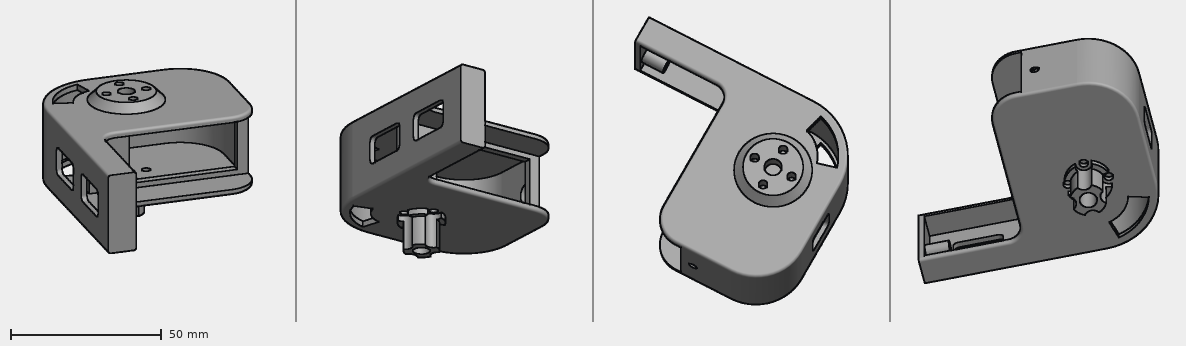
import cadquery as cq
import math

length = 84.0
width = 66.0
height = 28.0
body_length = 48.2
arm_width = 10.0
wall = 2.0
edge_round = 1.0

front_left_radius = 22.0
back_left_radius = 17.3
back_right_radius = 9.9
inner_corner_radius = 5.0

rim_start = 33.35
rim_thickness = 2.85
rim_lip = 1.85
rim_opening_front = 24.2
chamber_round = 1.2

hub_x = front_left_radius
hub_y = 28.05
boss_base_diameter = 25.95
boss_top_diameter = 20.0
boss_height = 3.0
flange_diameter = 16.0
flange_height = 2.0
spigot_diameter = 12.0
spigot_length = 12.0
bore_diameter = 5.8
screw_diameter = 2.9
screw_circle_radius = 7.0
screw_head_diameter = 5.55

window_round = 1.7
front_window_size = (17.0, 9.8)
front_window_centres = (40.5, 65.4)
front_window_z = -14.1
side_window_size = (11.25, 11.1)
side_window_y = 35.3
side_window_z = -14.1

slot_inner_radius = 11.9
slot_outer_radius = 18.8
slot_start_angle = 195.0
slot_end_angle = 255.0

back_hole_x = 31.7
countersink_diameter = 7.0

tube_diameter = 5.0
tube_start = 73.9
tube_y = 6.7
tube_z = -19.1

floor_z = wall - height
ceiling_z = -wall
rim_end = rim_start + rim_thickness
spigot_end = -height - spigot_length
screw_centres = [
    (hub_x + screw_circle_radius, hub_y),
    (hub_x, hub_y + screw_circle_radius),
    (hub_x - screw_circle_radius, hub_y),
    (hub_x, hub_y - screw_circle_radius),
]


def outline(inset):
    """Closed L-shaped outline, moved inwards by inset on every side."""
    left = inset
    front = inset
    back = width - inset
    right = body_length - inset
    arm_back = arm_width - inset
    end = length - inset
    r_front_left = front_left_radius - inset
    r_back_left = back_left_radius - inset
    r_back_right = back_right_radius - inset
    r_inner = inner_corner_radius + inset
    return (
        cq.Workplane("XY")
        .moveTo(left + r_front_left, front)
        .lineTo(end, front)
        .lineTo(end, arm_back)
        .lineTo(right + r_inner, arm_back)
        .radiusArc((right, arm_back + r_inner), r_inner)
        .lineTo(right, back - r_back_right)
        .radiusArc((right - r_back_right, back), -r_back_right)
        .lineTo(left + r_back_left, back)
        .radiusArc((left, back - r_back_left), -r_back_left)
        .lineTo(left, front + r_front_left)
        .radiusArc((left + r_front_left, front), -r_front_left)
        .close()
    )


def box(x_range, y_range, z_range):
    """Axis-aligned box between pairs of limits."""
    size = [limits[1] - limits[0] for limits in (x_range, y_range, z_range)]
    corner = (x_range[0], y_range[0], z_range[0])
    return cq.Workplane("XY").box(*size, centered=False).translate(corner)


def cylinder_z(x, y, diameter, bottom, top):
    """Upright cylinder between two heights."""
    return cq.Workplane("XY", origin=(x, y, bottom)).circle(diameter / 2).extrude(top - bottom)


def shell():
    """Solid L-shaped block with rounded top and bottom edges and a square arm end."""
    block = outline(0).extrude(-height)
    side_edges = block.faces("|Z").edges("not(>X)")
    return side_edges.fillet(edge_round)


def chamber():
    """Hollow behind the front and left walls, closed at +X by the rim."""
    room = outline(wall).extrude(floor_z - ceiling_z).translate((0, 0, ceiling_z))
    room = room.intersect(box((0, rim_start), (0, width), (-height, 0)))
    return room.faces(">X").edges().fillet(chamber_round)


def rim_openings():
    """Lipped opening through the rim, and the full-height gap in line with the arm."""
    x_range = (rim_start - chamber_round, rim_end)
    opening = box(
        x_range,
        (rim_opening_front, width - wall - rim_lip),
        (floor_z + rim_lip, ceiling_z - rim_lip),
    )
    arm_gap = box(x_range, (wall, arm_width), (floor_z, ceiling_z))
    return opening.union(arm_gap)


def open_channel():
    """Gap between the top and bottom plates, open to the back and to +X."""
    return box((rim_end, length - wall), (wall, width), (floor_z, ceiling_z))


def window(plane, origin, size, depth):
    """Rounded rectangular cutter."""
    through_direction = "|Y" if plane == "XZ" else "|X"
    blank = cq.Workplane(plane, origin=origin).rect(*size).extrude(depth)
    return blank.edges(through_direction).fillet(window_round)


def curved_slot():
    """Ring sector that passes through both plates."""
    def point(radius, angle):
        turn = math.radians(angle)
        return (radius * math.cos(turn), radius * math.sin(turn))

    middle_angle = (slot_start_angle + slot_end_angle) / 2
    centre = (front_left_radius, front_left_radius, 0)
    return (
        cq.Workplane("XY", origin=centre)
        .moveTo(*point(slot_inner_radius, slot_start_angle))
        .lineTo(*point(slot_outer_radius, slot_start_angle))
        .threePointArc(point(slot_outer_radius, middle_angle), point(slot_outer_radius, slot_end_angle))
        .lineTo(*point(slot_inner_radius, slot_end_angle))
        .threePointArc(point(slot_inner_radius, middle_angle), point(slot_inner_radius, slot_start_angle))
        .close()
        .extrude(-height)
    )


def top_boss():
    """Conical boss on the top face."""
    return (
        cq.Workplane("XY", origin=(hub_x, hub_y, 0))
        .circle(boss_base_diameter / 2)
        .workplane(offset=boss_height)
        .circle(boss_top_diameter / 2)
        .loft(ruled=True)
    )


def spigot():
    """Flanged spigot below the floor, fluted to clear four screw heads."""
    flange = cylinder_z(hub_x, hub_y, flange_diameter, -height - flange_height, -height)
    stem = cylinder_z(hub_x, hub_y, spigot_diameter, spigot_end, -height)
    body = flange.union(stem)
    for x, y in screw_centres:
        body = body.cut(cylinder_z(x, y, screw_head_diameter, spigot_end, -height))
    return body


def countersunk_hole():
    """Hole through the back wall, countersunk from the inside, clear of the chamber rounding."""
    inner_face = cq.Workplane("XZ", origin=(back_hole_x, width - wall, front_window_z))
    clearance = inner_face.circle(countersink_diameter / 2).extrude(chamber_round)
    cone = (
        inner_face.circle(countersink_diameter / 2)
        .workplane(offset=-wall)
        .circle(screw_diameter / 2)
        .loft(ruled=True)
    )
    return cone.union(clearance)


def screw_tube():
    """Tube along X, standing on the inside of the arm's end wall."""
    return (
        cq.Workplane("YZ", origin=(tube_start, tube_y, tube_z))
        .circle(tube_diameter / 2)
        .circle(screw_diameter / 2)
        .extrude(length - wall - tube_start)
    )


result = shell().cut(chamber()).cut(rim_openings()).cut(open_channel())

for x in front_window_centres:
    result = result.cut(window("XZ", (x, 0, front_window_z), front_window_size, -wall))
result = result.cut(window("YZ", (0, side_window_y, side_window_z), side_window_size, wall))
result = result.cut(curved_slot()).cut(countersunk_hole())

result = result.union(top_boss()).union(spigot()).union(screw_tube())

result = result.cut(cylinder_z(hub_x, hub_y, bore_diameter, spigot_end, boss_height))
for x, y in screw_centres:
    result = result.cut(cylinder_z(x, y, screw_diameter, spigot_end, boss_height))